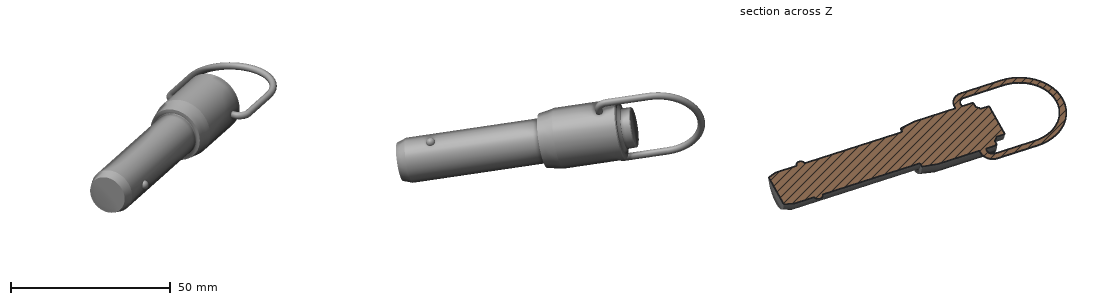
import cadquery as cq
import math


overall_length = 97.54
ring_width = 29.46

shank_dia = 14.3
shank_length = 45.9
root_chamfer = 0.2
tip_dia = 12.2
tip_taper_length = 3.0

ball_dia = 2.9
ball_span = 16.9
ball_to_tip = 11.4

handle_dia = 19.3
handle_end_dia = 17.35
handle_taper_length = 5.1
handle_length = 25.3
handle_edge_chamfer = 0.3

lip_base_dia = 15.4
lip_height = 0.95
lip_top_dia = lip_base_dia - 2 * lip_height
button_dia = 12.8
button_height = 3.05
button_edge_chamfer = 0.25

wire_dia = 2.29
leg_length = 13.6
bend_radius = 3.03
wire_embed = 1.5

tip_y = -shank_length
ring_top_y = tip_y + overall_length
ring_half_width = (ring_width - wire_dia) / 2
ring_centre_y = ring_top_y - ring_width / 2
ring_leg_end_y = ring_centre_y - leg_length


def make_turned_body():
    """Shank, handle, lip and button as one revolved profile (radius, Y)."""
    lip_top_y = handle_length + lip_height
    button_top_y = lip_top_y + button_height
    half_profile = (
        cq.Workplane("XY")
        .moveTo(0, tip_y)
        .lineTo(tip_dia / 2, tip_y)
        .lineTo(shank_dia / 2, tip_y + tip_taper_length)
        .lineTo(shank_dia / 2, -root_chamfer)
        .lineTo(shank_dia / 2 + root_chamfer, 0)
        .lineTo(handle_end_dia / 2, 0)
        .lineTo(handle_dia / 2, handle_taper_length)
        .lineTo(handle_dia / 2, handle_length - handle_edge_chamfer)
        .lineTo(handle_dia / 2 - handle_edge_chamfer, handle_length)
        .lineTo(lip_base_dia / 2, handle_length)
        .lineTo(lip_top_dia / 2, lip_top_y)
        .lineTo(button_dia / 2, lip_top_y)
        .lineTo(button_dia / 2, button_top_y - button_edge_chamfer)
        .lineTo(button_dia / 2 - button_edge_chamfer, button_top_y)
        .lineTo(0, button_top_y)
        .close()
    )
    return half_profile.revolve(360, (0, 0, 0), (0, 1, 0))


def make_ball(side):
    """One locking ball; side is +1 or -1 along X."""
    radius = ball_dia / 2
    centre_x = side * (ball_span / 2 - radius)
    half_disc = (
        cq.Workplane("XY", origin=(centre_x, tip_y + ball_to_tip, 0))
        .moveTo(-radius, 0)
        .threePointArc((0, radius), (radius, 0))
        .close()
    )
    return half_disc.revolve(360, (0, 0, 0), (1, 0, 0))


def make_pull_ring():
    """Round wire bent into a bail, with both ends sunk into the handle."""
    end_x = handle_dia / 2 - wire_embed
    bend_x = ring_half_width - bend_radius
    end_y = ring_leg_end_y - bend_radius
    bend_mid_offset = bend_radius * math.cos(math.radians(45))
    bend_mid_x = bend_x + bend_mid_offset
    bend_mid_y = ring_leg_end_y - bend_mid_offset
    path = (
        cq.Workplane("XY")
        .moveTo(-end_x, end_y)
        .lineTo(-bend_x, end_y)
        .threePointArc((-bend_mid_x, bend_mid_y), (-ring_half_width, ring_leg_end_y))
        .lineTo(-ring_half_width, ring_centre_y)
        .threePointArc((0, ring_centre_y + ring_half_width), (ring_half_width, ring_centre_y))
        .lineTo(ring_half_width, ring_leg_end_y)
        .threePointArc((bend_mid_x, bend_mid_y), (bend_x, end_y))
        .lineTo(end_x, end_y)
    )
    wire_section = cq.Workplane("YZ", origin=(-end_x, end_y, 0)).circle(wire_dia / 2)
    return wire_section.sweep(path)


result = make_turned_body().union(make_pull_ring())
for side in (-1, 1):
    result = result.union(make_ball(side))